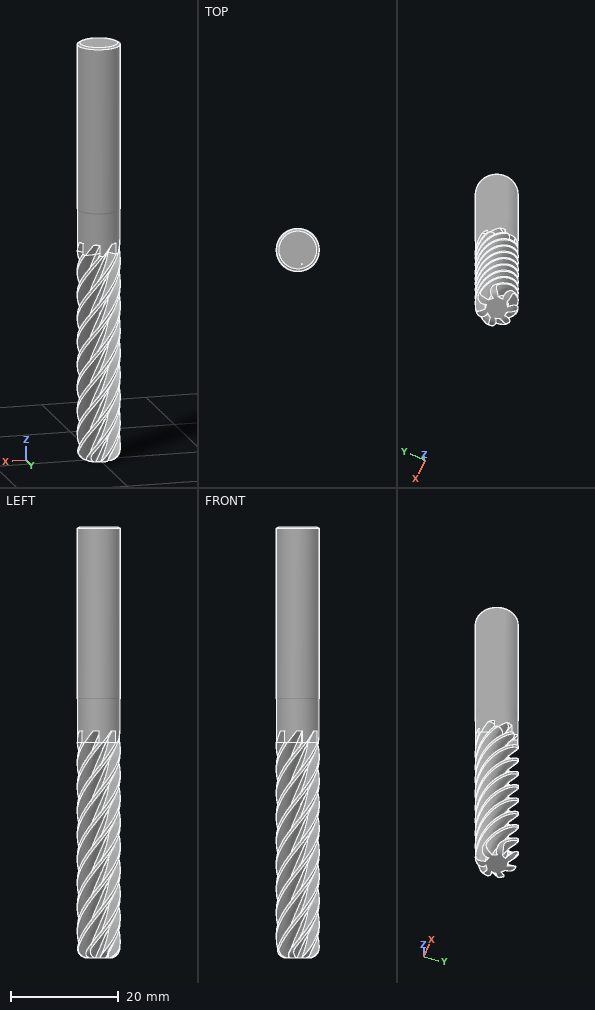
import cadquery as cq
import math


tool_length = 80.0
tool_radius = 4.0
cut_length = 40.0
corner_radius = 2.0

neck_end = 48.0
neck_radius = 3.95
neck_step_height = 0.2
chamfer_width = 0.5
chamfer_height = 0.3
runout_length = 2.1

flute_count = 7
helix_lead = 31.1
tooth_pitch = 360.0 / flute_count
tip_angle_at_shank = 26.4

oversize_radius = tool_radius + 0.2
relief_start_angle = 3.5
relief_angle = 19.0
relief_radius = 3.5
floor_start_angle = 34.0
floor_start_radius = 2.2
floor_end_angle = 59.0
floor_end_radius = 2.0
rake_end_angle = tooth_pitch - 0.8


def polar(radius, angle):
    """Point in the XY plane at an angle in degrees."""
    turn = math.radians(angle)
    return (radius * math.cos(turn), radius * math.sin(turn))


def twist(height):
    """Turn of the helix over a height."""
    return 360.0 * height / helix_lead


def trace_flute(sketch, tip_angle):
    """Add one flute: convex back of a tooth, flute floor, rake face of the next tooth."""
    return (
        sketch
        .threePointArc(
            polar(relief_radius, tip_angle + relief_angle),
            polar(floor_start_radius, tip_angle + floor_start_angle),
        )
        .lineTo(*polar(floor_end_radius, tip_angle + floor_end_angle))
        .lineTo(*polar(oversize_radius, tip_angle + rake_end_angle))
    )


def teeth_section(first_tip_angle):
    """Closed section of all the teeth, each flute joined to the next by an oversize tooth top."""
    sketch = cq.Workplane("XY").moveTo(*polar(oversize_radius, first_tip_angle + relief_start_angle))
    for tooth in range(flute_count):
        tip_angle = first_tip_angle + tooth * tooth_pitch
        if tooth > 0:
            sketch = sketch.lineTo(*polar(oversize_radius, tip_angle + relief_start_angle))
        sketch = trace_flute(sketch, tip_angle)
    return sketch.close()


def flute_section(tip_angle):
    """Closed section of a single flute, open past the tool cylinder."""
    start_angle = tip_angle + relief_start_angle
    end_angle = tip_angle + rake_end_angle
    sketch = cq.Workplane("XY").moveTo(*polar(oversize_radius, start_angle))
    return (
        trace_flute(sketch, tip_angle)
        .threePointArc(
            polar(oversize_radius, (start_angle + end_angle) / 2),
            polar(oversize_radius, start_angle),
        )
        .close()
    )


def make_cutting_head():
    """Helical teeth trimmed to a cylinder with a rounded lower corner."""
    envelope = (
        cq.Workplane("XY")
        .circle(tool_radius)
        .extrude(cut_length)
        .faces("<Z").edges().fillet(corner_radius)
    )
    head_twist = twist(cut_length)
    teeth = teeth_section(tip_angle_at_shank - head_twist).twistExtrude(cut_length, head_twist)
    return teeth.intersect(envelope)


def make_runout():
    """End of one flute in the neck: a helical flute stopped by a wall along the tool axis."""
    helical = flute_section(tip_angle_at_shank).twistExtrude(runout_length, twist(runout_length))
    straight = flute_section(tip_angle_at_shank).extrude(runout_length)
    return helical.intersect(straight).translate((0, 0, cut_length))


def make_shank():
    """Turned shank and neck with a chamfered top and the flute runouts."""
    shank = (
        cq.Workplane("XZ")
        .moveTo(0, cut_length)
        .lineTo(neck_radius, cut_length)
        .lineTo(neck_radius, neck_end)
        .lineTo(tool_radius, neck_end + neck_step_height)
        .lineTo(tool_radius, tool_length - chamfer_height)
        .lineTo(tool_radius - chamfer_width, tool_length)
        .lineTo(0, tool_length)
        .close()
        .revolve(360, (0, 0), (0, 1))
    )
    runout = make_runout()
    for tooth in range(flute_count):
        shank = shank.cut(runout.rotate((0, 0, 0), (0, 0, 1), tooth * tooth_pitch))
    return shank


cutting_head = make_cutting_head()
shank = make_shank()

result = cq.Compound.makeCompound([cutting_head.solids().val(), shank.solids().val()])